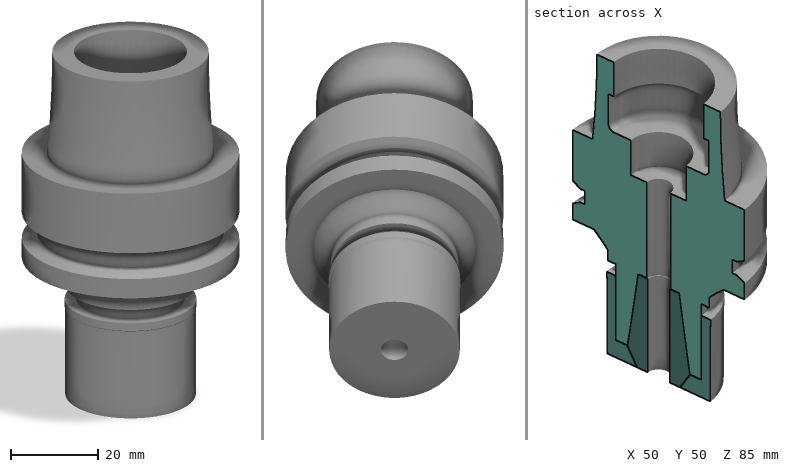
import cadquery as cq
import math


shank_length = 25.0
shank_top_radius = 18.0
shank_curve_radius = 250.0

flange_radius = 25.0
flange_length = 26.0
groove_center_z = -18.0
groove_width = 3.75
groove_floor_radius = 21.5
groove_wall_radius = 22.7
groove_flank_angle = 30.0

cone_length = 4.0
shoulder_radius = 14.8
shoulder_length = 3.1
neck_radius = 12.5
cone_top_radius = shoulder_radius + cone_length

chuck_length = 60.0
nut_length = 23.7
collar_radius = 15.15
collar_length = 1.9
collar_chamfer = 0.15
nut_cap_thickness = 5.0

mouth_radius = 13.0
mouth_depth = 10.0
undercut_radius = 14.5
undercut_depth = 20.2
undercut_fillet = 1.5
coolant_bore_radius = 8.0
coolant_bore_depth = 10.0
through_radius = 3.4

collet_bore_radius = 3.15
collet_max_radius = 9.0
collet_rear_length = 22.0
collet_rear_angle = 8.0
collet_front_angle = 30.0

flange_bottom_z = -flange_length
shoulder_top_z = flange_bottom_z - cone_length
neck_top_z = shoulder_top_z - shoulder_length
nut_face_z = -chuck_length
nut_top_z = nut_face_z + nut_length
nose_z = nut_face_z + nut_cap_thickness
collet_rear_z = nose_z + collet_rear_length

collet_rear_radius = collet_max_radius - collet_rear_length * math.tan(math.radians(collet_rear_angle))
collet_face_radius = collet_max_radius - nut_cap_thickness * math.tan(math.radians(collet_front_angle))


def turn(profile):
    """Revolve a closed (radius, z) profile about the Z axis."""
    return profile.close().revolve(360, (0, 0), (0, 1))


def turn_points(points):
    """Revolve a polygon of (radius, z) points about the Z axis."""
    return turn(cq.Workplane("XZ").polyline(points))


def cylinder(radius, top_z, bottom_z):
    """Solid cylinder on the Z axis between two levels."""
    return cq.Workplane("XY").workplane(offset=bottom_z).circle(radius).extrude(top_z - bottom_z)


def shank_radius(depth):
    """Outer shank radius at a depth below the shank top."""
    return shank_top_radius + shank_curve_radius - math.sqrt(shank_curve_radius**2 - depth**2)


def make_shank_cavity():
    """Bore with an undercut and a rounded floor, then the coolant bore."""
    mouth_bottom_z = shank_length - mouth_depth
    floor_z = shank_length - undercut_depth
    mouth = cylinder(mouth_radius, shank_length, mouth_bottom_z)
    undercut = cylinder(undercut_radius, mouth_bottom_z, floor_z).faces("<Z").edges().fillet(undercut_fillet)
    coolant_bore = cylinder(coolant_bore_radius, floor_z, floor_z - coolant_bore_depth)
    return mouth.union(undercut).union(coolant_bore)


def make_gripper_groove():
    """Ring cut from the flange: square floor with sloping flanks."""
    wall_top_z = groove_center_z + groove_width / 2
    wall_bottom_z = groove_center_z - groove_width / 2
    flank_rise = (flange_radius - groove_wall_radius) * math.tan(math.radians(groove_flank_angle))
    return turn_points([
        (groove_floor_radius, wall_top_z),
        (groove_wall_radius, wall_top_z),
        (flange_radius, wall_top_z + flank_rise),
        (flange_radius, wall_bottom_z - flank_rise),
        (groove_wall_radius, wall_bottom_z),
        (groove_floor_radius, wall_bottom_z),
    ])


def make_collet_blank():
    """Double taper of the collet without its bore."""
    return turn_points([
        (0, collet_rear_z),
        (collet_rear_radius, collet_rear_z),
        (collet_max_radius, nose_z),
        (collet_face_radius, nut_face_z),
        (0, nut_face_z),
    ])


def make_holder():
    """Shank, flange and neck; the neck runs on as the nose inside the nut."""
    outline = (
        cq.Workplane("XZ")
        .moveTo(0, shank_length)
        .lineTo(shank_top_radius, shank_length)
        .threePointArc(
            (shank_radius(shank_length / 2), shank_length / 2),
            (shank_radius(shank_length), 0),
        )
        .lineTo(flange_radius, 0)
        .lineTo(flange_radius, flange_bottom_z)
        .lineTo(cone_top_radius, flange_bottom_z)
        .lineTo(shoulder_radius, shoulder_top_z)
        .lineTo(shoulder_radius, neck_top_z)
        .lineTo(neck_radius, neck_top_z)
        .lineTo(neck_radius, nose_z)
        .lineTo(0, nose_z)
    )
    through_bore = cylinder(through_radius, shank_length, nose_z)
    return (
        turn(outline)
        .cut(make_gripper_groove())
        .cut(make_shank_cavity())
        .cut(through_bore)
        .cut(make_collet_blank())
    )


def make_nut():
    """Sleeve with a collar at its top and a cap that bears on the collet."""
    body_radius = collar_radius - collar_chamfer
    collar_bottom_z = nut_top_z - collar_length
    blank = turn_points([
        (0, nut_top_z),
        (collar_radius, nut_top_z),
        (collar_radius, collar_bottom_z),
        (body_radius, collar_bottom_z - collar_chamfer),
        (body_radius, nut_face_z),
        (0, nut_face_z),
    ])
    nose_recess = cylinder(neck_radius, nut_top_z, nose_z)
    return blank.cut(nose_recess).cut(make_collet_blank())


def make_collet():
    """Collet with its tool bore."""
    return make_collet_blank().cut(cylinder(collet_bore_radius, collet_rear_z, nut_face_z))


holder = make_holder()
nut = make_nut()
collet = make_collet()
result = cq.Compound.makeCompound([holder.val(), nut.val(), collet.val()])